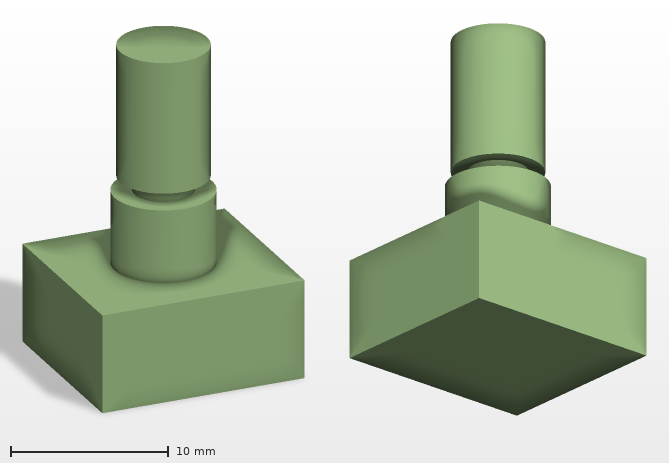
import cadquery as cq

base_length_x = 12.6
base_width_y = 14.0
total_height = 21.75

base_height = 6.75
bushing_diameter = 6.75
bushing_height = 5.0

neck_diameter = 4.0
neck_height = 1.0
shaft_diameter = 6.0

bushing_top = base_height + bushing_height
neck_top = bushing_top + neck_height
shaft_height = total_height - neck_top


def cylinder(diameter, height, bottom):
    """Vertical cylinder on the Z axis, standing at the given level."""
    return cq.Workplane("XY").workplane(offset=bottom).circle(diameter / 2).extrude(height)


def make_housing():
    """Base block and bushing in one piece."""
    base = cq.Workplane("XY").box(
        base_length_x, base_width_y, base_height, centered=(True, True, False)
    )
    bushing = cylinder(bushing_diameter, bushing_height, base_height)
    return base.union(bushing)


def make_shaft():
    """Turned shaft whose neck rests on the top face of the bushing."""
    neck = cylinder(neck_diameter, neck_height, bushing_top)
    knob_end = cylinder(shaft_diameter, shaft_height, neck_top)
    return neck.union(knob_end)


housing = make_housing()
shaft = make_shaft()

result = cq.Compound.makeCompound([housing.val(), shaft.val()])